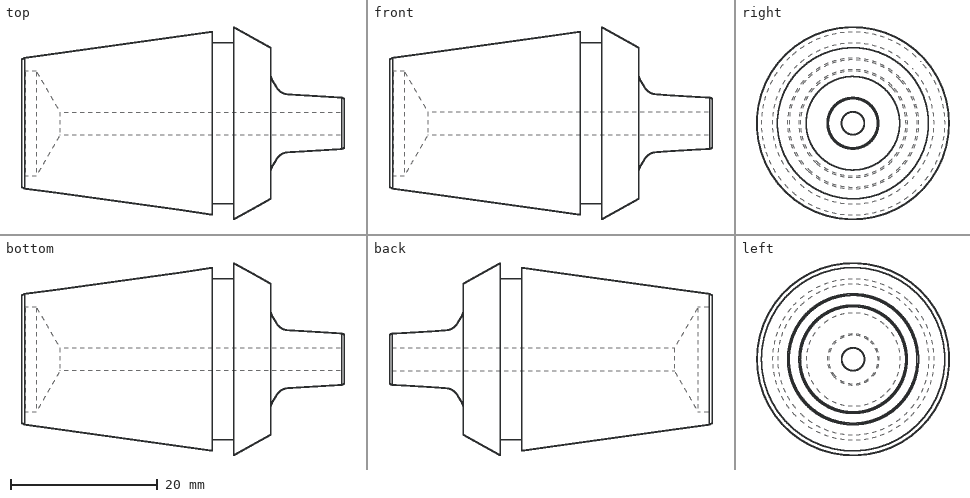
import cadquery as cq
import math

length = 44.0
nose_chamfer_length = 0.45
taper_end = 26.0
flange_start = 28.9
flange_end = 33.95
fillet_lead_end = 34.25
fillet_mid = 34.8
neck_start = 36.35
tip_chamfer_length = 0.35

nose_face_radius = 8.7
nose_radius = 8.95
taper_end_radius = 12.5
groove_radius = 11.0
flange_radius = 13.1
flange_end_radius = 10.3
fillet_start_radius = 6.4
fillet_lead_radius = 5.75
fillet_mid_radius = 4.85
neck_radius = 3.95
tip_radius = 3.5
tip_face_radius = 3.35

bore_mouth_radius = 7.4
bore_radius = 7.15
bore_chamfer_length = 0.55
bore_depth = 2.0
bore_cone_angle = 120.0
through_hole_radius = 1.55
bore_cone_length = (bore_radius - through_hole_radius) / math.tan(math.radians(bore_cone_angle / 2))


def revolve_about_x(profile):
    """Revolve a closed half profile, given as (x, radius), about the X axis."""
    return profile.close().revolve(360, (0, 0), (1, 0))


def make_body():
    """Tapered nose, groove, conical flange and slightly tapered neck."""
    profile = (
        cq.Workplane("XY")
        .moveTo(0, 0)
        .lineTo(0, nose_face_radius)
        .lineTo(nose_chamfer_length, nose_radius)
        .lineTo(taper_end, taper_end_radius)
        .lineTo(taper_end, groove_radius)
        .lineTo(flange_start, groove_radius)
        .lineTo(flange_start, flange_radius)
        .lineTo(flange_end, flange_end_radius)
        .lineTo(flange_end, fillet_start_radius)
        .lineTo(fillet_lead_end, fillet_lead_radius)
        .lineTo(fillet_mid, fillet_mid_radius)
        .tangentArcPoint((neck_start, neck_radius), relative=False)
        .lineTo(length - tip_chamfer_length, tip_radius)
        .lineTo(length, tip_face_radius)
        .lineTo(length, 0)
    )
    return revolve_about_x(profile)


def make_bore():
    """Chamfered blind bore with a conical floor and a hole through the neck."""
    profile = (
        cq.Workplane("XY")
        .moveTo(0, 0)
        .lineTo(0, bore_mouth_radius)
        .lineTo(bore_chamfer_length, bore_radius)
        .lineTo(bore_depth, bore_radius)
        .lineTo(bore_depth + bore_cone_length, through_hole_radius)
        .lineTo(length, through_hole_radius)
        .lineTo(length, 0)
    )
    return revolve_about_x(profile)


result = make_body().cut(make_bore()).translate((-length / 2, 0, 0))